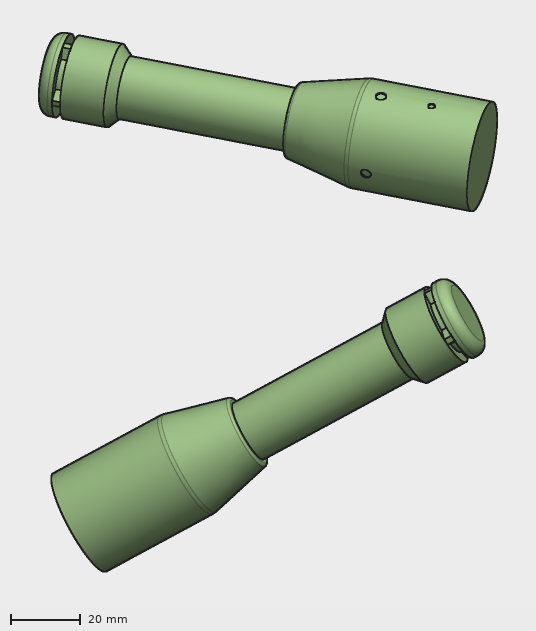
import cadquery as cq
import math

total_length = 129.01

knob_radius = 12.2
grip_radius = 9.2
knob_edge_round = 3.2
groove_start = 4.7
groove_floor_radius = 9.0
groove_width = 2.4
knob_straight_end = 20.0
knob_end = knob_straight_end + (knob_radius - grip_radius)
handle_length = 72.8

lug_count = 4
lug_top_radius = 11.9
lug_base_half_width = 2.5
lug_top_half_width = 0.95

head_radius = 16.0
head_rim_radius = 11.0
head_rim_round = 1.0
cone_end = 93.0
cone_blend_radius = 5.0

recess_depth = 0.5
large_recess_diameter = 3.0
large_recess_x = 99.0
small_recess_diameter = 2.0
small_recess_x = 114.0


def turned(profile):
    """Revolve a half profile, drawn in the XZ plane as (x, radius), about the X axis."""
    return profile.close().revolve(360, (0, 0, 0), (1, 0, 0))


def make_lug():
    """One trapezoidal lug on the +Z side, as long as the groove is wide."""
    base_height = math.sqrt(groove_floor_radius**2 - lug_base_half_width**2)
    root_height = groove_floor_radius / 2
    return (
        cq.Workplane("YZ", origin=(groove_start, 0, 0))
        .moveTo(-lug_base_half_width, root_height)
        .lineTo(lug_base_half_width, root_height)
        .lineTo(lug_base_half_width, base_height)
        .lineTo(lug_top_half_width, lug_top_radius)
        .lineTo(-lug_top_half_width, lug_top_radius)
        .lineTo(-lug_base_half_width, base_height)
        .close()
        .extrude(groove_width)
    )


def make_handle():
    groove_end = groove_start + groove_width
    round_middle = knob_edge_round * (1 - math.sqrt(0.5))
    body = turned(
        cq.Workplane("XZ")
        .moveTo(0, 0)
        .lineTo(0, knob_radius - knob_edge_round)
        .threePointArc((round_middle, knob_radius - round_middle), (knob_edge_round, knob_radius))
        .lineTo(groove_start, knob_radius)
        .lineTo(groove_start, groove_floor_radius)
        .lineTo(groove_end, groove_floor_radius)
        .lineTo(groove_end, knob_radius)
        .lineTo(knob_straight_end, knob_radius)
        .lineTo(knob_end, grip_radius)
        .lineTo(handle_length, grip_radius)
        .lineTo(handle_length, 0)
    )
    lug = make_lug()
    for index in range(lug_count):
        angle = index * 360 / lug_count
        body = body.union(lug.rotate((0, 0, 0), (1, 0, 0), angle))
    return body


def recess_cutter(diameter, x):
    """Cutter for a recess in the +Z side of the head."""
    return (
        cq.Workplane("XY", origin=(x, 0, head_radius - recess_depth))
        .circle(diameter / 2)
        .extrude(2 * recess_depth)
    )


def make_head():
    body = turned(
        cq.Workplane("XZ")
        .moveTo(handle_length, 0)
        .lineTo(handle_length, head_rim_radius)
        .lineTo(cone_end, head_radius)
        .lineTo(total_length, head_radius)
        .lineTo(total_length, 0)
    )
    circles_from_rim = body.edges("%CIRCLE").sort(lambda edge: edge.Center().x)
    body = circles_from_rim[1].fillet(cone_blend_radius)
    body = body.faces("<X").edges().fillet(head_rim_round)

    large_recess = recess_cutter(large_recess_diameter, large_recess_x)
    front_recess = large_recess.rotate((0, 0, 0), (1, 0, 0), 90)
    small_recess = recess_cutter(small_recess_diameter, small_recess_x)
    return body.cut(large_recess).cut(front_recess).cut(small_recess)


handle = make_handle()
head = make_head()

result = cq.Compound.makeCompound([handle.val(), head.val()])